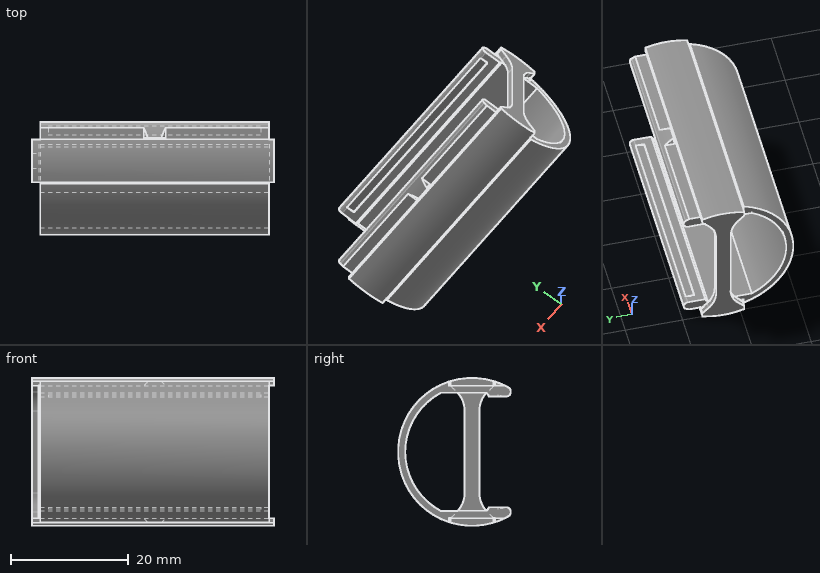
import cadquery as cq
import math

length = 41.1
outer_diameter = 25.1
outer_radius = outer_diameter / 2
overall_depth = 19.15
inner_radius = 11.3

seat_height = 11.2
rail_half_width = 3.65
plate_thickness = 1.15
web_half_width = 1.27
web_fillet = 4.52

housing_start = 1.4
housing_length = 38.85
inner_flat_height = 10.0
rail_clearance = 0.25
step_y = rail_half_width + rail_clearance

lip_inner_height = 9.37
lip_corner_y = 6.3
lip_tip_y = overall_depth - outer_radius
lip_tip_height = 10.2
lip_flat_end_y = 5.9
lip_flat_start_y = 2.85
lip_hollow_end_y = 2.4
lip_hollow_sag = 0.1

pocket_end_margin = 1.4
pocket_wall_y = 4.4
pocket_depth = 0.3

nub_base_length = 3.75
nub_centre = housing_start + housing_length / 2


def circle_height(radius, y):
    return math.sqrt(radius**2 - y**2)


def extrude_along_x(profile, start, distance):
    return profile.extrude(distance).translate((start, 0, 0))


def make_rail():
    shoulder = circle_height(outer_radius, rail_half_width)
    profile = (
        cq.Workplane("YZ")
        .moveTo(-rail_half_width, seat_height)
        .lineTo(-rail_half_width, shoulder)
        .threePointArc((0, outer_radius), (rail_half_width, shoulder))
        .lineTo(rail_half_width, seat_height)
        .close()
    )
    return extrude_along_x(profile, 0, length)


def make_web_plate():
    """Full-height plate that flares at 45 degrees to the width of the rails."""
    diagonal = math.sqrt(0.5)
    flare_y = web_half_width + web_fillet * (1 - diagonal)
    flare_z = seat_height - (rail_half_width - flare_y)
    web_z = flare_z - web_fillet * diagonal
    arc_centre_y = web_half_width + web_fillet
    arc_mid_y = arc_centre_y - web_fillet * math.cos(math.pi / 8)
    arc_mid_z = web_z + web_fillet * math.sin(math.pi / 8)
    profile = (
        cq.Workplane("YZ")
        .moveTo(-rail_half_width, seat_height)
        .lineTo(rail_half_width, seat_height)
        .lineTo(flare_y, flare_z)
        .threePointArc((arc_mid_y, arc_mid_z), (web_half_width, web_z))
        .lineTo(web_half_width, -web_z)
        .threePointArc((arc_mid_y, -arc_mid_z), (flare_y, -flare_z))
        .lineTo(rail_half_width, -seat_height)
        .lineTo(-rail_half_width, -seat_height)
        .lineTo(-flare_y, -flare_z)
        .threePointArc((-arc_mid_y, -arc_mid_z), (-web_half_width, -web_z))
        .lineTo(-web_half_width, web_z)
        .threePointArc((-arc_mid_y, arc_mid_z), (-flare_y, flare_z))
        .close()
    )
    return extrude_along_x(profile, 0, plate_thickness)


def make_clip():
    rail = make_rail()
    return make_web_plate().union(rail).union(rail.mirror("XY"))


def make_shell():
    step_z = circle_height(outer_radius, step_y)
    seat_end_y = circle_height(outer_radius, seat_height)
    lip_corner_z = circle_height(outer_radius, lip_corner_y)
    edge_mid_y = (seat_end_y + lip_corner_y) / 2
    edge_mid_z = circle_height(outer_radius, edge_mid_y)
    hollow_run = lip_flat_start_y - lip_hollow_end_y
    hollow_rise = inner_flat_height - lip_inner_height
    hollow_chord = math.hypot(hollow_run, hollow_rise)
    hollow_mid_y = lip_flat_start_y - hollow_run / 2 + lip_hollow_sag * hollow_rise / hollow_chord
    hollow_mid_z = lip_inner_height + hollow_rise / 2 + lip_hollow_sag * hollow_run / hollow_chord
    inner_end_y = -circle_height(inner_radius, inner_flat_height)
    profile = (
        cq.Workplane("YZ")
        .moveTo(-step_y, step_z)
        .threePointArc((-outer_radius, 0), (-step_y, -step_z))
        .lineTo(-step_y, -seat_height)
        .lineTo(seat_end_y, -seat_height)
        .threePointArc((edge_mid_y, -edge_mid_z), (lip_corner_y, -lip_corner_z))
        .threePointArc((lip_tip_y, -lip_tip_height), (lip_flat_end_y, -lip_inner_height))
        .lineTo(lip_flat_start_y, -lip_inner_height)
        .threePointArc((hollow_mid_y, -hollow_mid_z), (lip_hollow_end_y, -inner_flat_height))
        .lineTo(inner_end_y, -inner_flat_height)
        .threePointArc((-inner_radius, 0), (inner_end_y, inner_flat_height))
        .lineTo(lip_hollow_end_y, inner_flat_height)
        .threePointArc((hollow_mid_y, hollow_mid_z), (lip_flat_start_y, lip_inner_height))
        .lineTo(lip_flat_end_y, lip_inner_height)
        .threePointArc((lip_tip_y, lip_tip_height), (lip_corner_y, lip_corner_z))
        .threePointArc((edge_mid_y, edge_mid_z), (seat_end_y, seat_height))
        .lineTo(-step_y, seat_height)
        .close()
    )
    return extrude_along_x(profile, housing_start, housing_length)


def make_nub():
    """Trapezoidal block on the upper seat, trimmed by the outer cylinder."""
    seat_end_y = circle_height(outer_radius, seat_height)
    height = circle_height(outer_radius, step_y) - seat_height
    half_base = nub_base_length / 2
    half_top = half_base - height
    block = (
        cq.Workplane("XZ", origin=(nub_centre, step_y, seat_height))
        .polyline([(-half_base, 0), (half_base, 0), (half_top, height), (-half_top, height)])
        .close()
        .extrude(-(seat_end_y - step_y))
    )
    cylinder = cq.Workplane("YZ").circle(outer_radius).extrude(length)
    return block.intersect(cylinder)


def make_catch_pocket():
    """Wedge cut from the upper lip; its floor runs out at the rounded tip."""
    profile = (
        cq.Workplane("YZ")
        .moveTo(pocket_wall_y, lip_inner_height)
        .lineTo(lip_flat_end_y, lip_inner_height)
        .lineTo(pocket_wall_y, lip_inner_height + pocket_depth)
        .close()
    )
    pocket_length = housing_length - 2 * pocket_end_margin
    return extrude_along_x(profile, housing_start + pocket_end_margin, pocket_length)


def make_housing():
    nub = make_nub()
    pocket = make_catch_pocket()
    body = make_shell().union(nub).union(nub.mirror("XY"))
    return body.cut(pocket).cut(pocket.mirror("XY"))


clip = make_clip()
housing = make_housing()

result = cq.Compound.makeCompound([clip.solids().val(), housing.solids().val()])